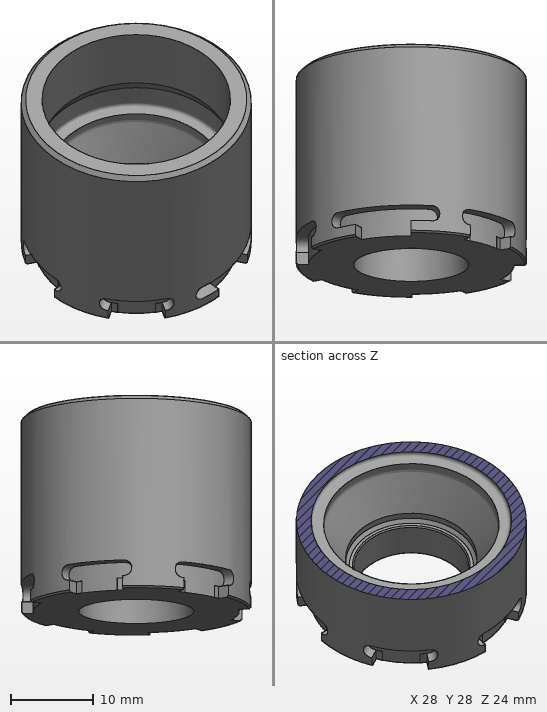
import cadquery as cq
import math

HEIGHT = 24.0
OUTER_R = 28 / 2
TOP_CHAMFER = 0.55
TOP_CHAMFER_DROP = 0.5
BOTTOM_CHAMFER = 0.22

MOUTH_R = 22.9 / 2
GUIDE_R = 21.3 / 2
GROOVE_R = 24.3 / 2
SEAT_R = 16.0 / 2
SEAT_FLOOR_R = 7.55
LIP_R = 7.17
THROUGH_R = 14 / 2

MOUTH_DEPTH = 8.1
GROOVE_TOP = 9.55
GROOVE_FLOOR = 12.52
GUIDE_END = 13.55
EDGE_BREAK = 0.08
EDGE_BREAK_LENGTH = 0.28
CONE_HALF_ANGLE = 30
SEAT_LENGTH = 0.85
GROOVE_FILLET = 0.42

NOTCH_COUNT = 6
NOTCH_FLOOR_R = 12.52
SLOT_BOTTOM = 1.48
SLOT_TOP = 3.42
SLOT_HEIGHT = SLOT_TOP - SLOT_BOTTOM
SLOT_HALF_ANGLE = 15
LONG_SLOT_HALF_ANGLE = 25
LONG_NOTCH_FLOOR_R = 12.38
OPENING_OUTER = 3.58
OPENING_INNER = 3.2
CUT_R = OUTER_R + 0.55
CUT_ROOT_R = 11.2


def level(depth):
    """Height above the bottom face of a point at this depth below the top face."""
    return HEIGHT - depth


def outer_body():
    return (
        cq.Workplane("XZ")
        .lineTo(OUTER_R - BOTTOM_CHAMFER, 0)
        .lineTo(OUTER_R, BOTTOM_CHAMFER)
        .lineTo(OUTER_R, level(TOP_CHAMFER_DROP))
        .lineTo(OUTER_R - TOP_CHAMFER, HEIGHT)
        .lineTo(0, HEIGHT)
        .close()
        .revolve(360, (0, 0), (0, 1))
    )


def bore():
    cone_start = GUIDE_END + EDGE_BREAK_LENGTH
    cone_end = cone_start + (GUIDE_R - EDGE_BREAK - SEAT_R) / math.tan(math.radians(CONE_HALF_ANGLE))
    seat_end = cone_end + SEAT_LENGTH
    floor_depth = seat_end + (SEAT_R - SEAT_FLOOR_R)
    lip_end = floor_depth + (LIP_R - THROUGH_R)
    arc_drop = GROOVE_FILLET * (1 - math.sqrt(0.5))
    return (
        cq.Workplane("XZ")
        .moveTo(0, HEIGHT)
        .lineTo(MOUTH_R, HEIGHT)
        .lineTo(MOUTH_R, level(MOUTH_DEPTH))
        .lineTo(GROOVE_R, level(GROOVE_TOP))
        .lineTo(GROOVE_R, level(GROOVE_FLOOR - GROOVE_FILLET))
        .threePointArc(
            (GROOVE_R - arc_drop, level(GROOVE_FLOOR - arc_drop)),
            (GROOVE_R - GROOVE_FILLET, level(GROOVE_FLOOR)),
        )
        .lineTo(GUIDE_R, level(GROOVE_FLOOR))
        .lineTo(GUIDE_R, level(GUIDE_END))
        .lineTo(GUIDE_R - EDGE_BREAK, level(cone_start))
        .lineTo(SEAT_R, level(cone_end))
        .lineTo(SEAT_R, level(seat_end))
        .lineTo(SEAT_FLOOR_R, level(floor_depth))
        .lineTo(LIP_R, level(floor_depth))
        .lineTo(THROUGH_R, level(lip_end))
        .lineTo(THROUGH_R, 0)
        .lineTo(0, 0)
        .close()
        .revolve(360, (0, 0), (0, 1))
    )


def notch(slot_half_angle, floor_r):
    """One notch on the +X side: a slot with round ends, open to the bottom through a narrower gap."""
    slope = math.tan(math.radians(slot_half_angle))
    slot = (
        cq.Workplane("XY", origin=(0, 0, SLOT_BOTTOM))
        .polyline([(0, 0), (CUT_R, -CUT_R * slope), (CUT_R, CUT_R * slope)])
        .close()
        .extrude(SLOT_HEIGHT)
    )
    wall_slope = (OPENING_OUTER - OPENING_INNER) / (OUTER_R - floor_r)
    cut_half_width = OPENING_OUTER + (CUT_R - OUTER_R) * wall_slope
    root_half_width = OPENING_INNER - (floor_r - CUT_ROOT_R) * wall_slope
    opening = (
        cq.Workplane("XY")
        .polyline([
            (CUT_ROOT_R, -root_half_width),
            (CUT_R, -cut_half_width),
            (CUT_R, cut_half_width),
            (CUT_ROOT_R, root_half_width),
        ])
        .close()
        .extrude(SLOT_BOTTOM)
    )
    core = cq.Workplane("XY").circle(floor_r).extrude(SLOT_TOP)
    ends = []
    for angle in (-slot_half_angle, slot_half_angle):
        pad = (
            cq.Workplane("XY")
            .rect(2 * floor_r, SLOT_HEIGHT)
            .extrude(SLOT_BOTTOM)
            .rotate((0, 0, 0), (0, 0, 1), angle)
        )
        core = core.union(pad)
        end = (
            cq.Workplane("YZ", origin=(floor_r, 0, 0))
            .center(0, (SLOT_TOP + SLOT_BOTTOM) / 2)
            .circle(SLOT_HEIGHT / 2)
            .extrude(CUT_R - floor_r)
            .rotate((0, 0, 0), (0, 0, 1), angle)
        )
        ends.append(end)
    cutter = slot.union(opening).cut(core)
    for end in ends:
        cutter = cutter.union(end)
    return cutter


result = outer_body().cut(bore())
regular_notch = notch(SLOT_HALF_ANGLE, NOTCH_FLOOR_R)
for index in range(1, NOTCH_COUNT):
    result = result.cut(regular_notch.rotate((0, 0, 0), (0, 0, 1), index * 360 / NOTCH_COUNT))

result = result.cut(notch(LONG_SLOT_HALF_ANGLE, LONG_NOTCH_FLOOR_R))